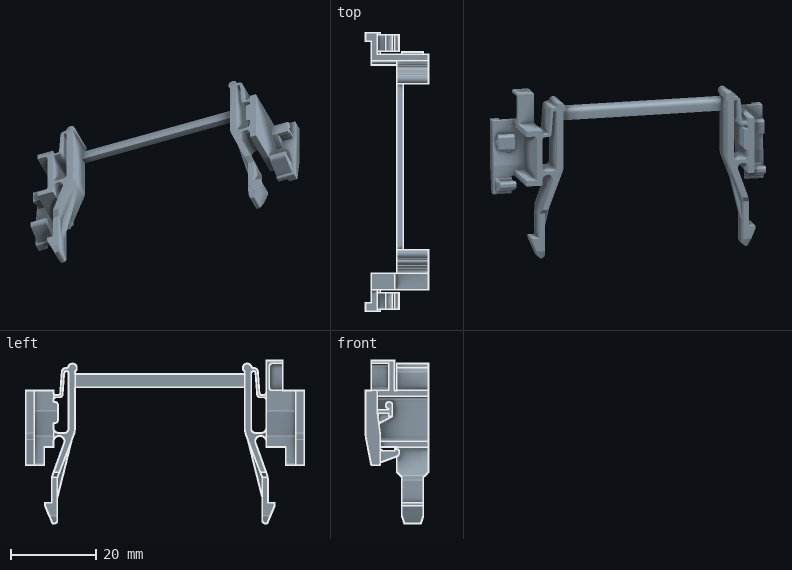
import cadquery as cq
import math


half_length = 32.75
lever_width = 14.9

wall_left = 7.35
wall_thickness = 1.6
wall_bottom = 21.6
spring_depth = 5.05
near_wall = 18.75
far_wall = 21.15
joint_overlap = 0.5

knob_radius = 1.05
knob_depth = 0.6
neck_radius = 0.45

strap_thickness = 0.6
strap_root_radius = 0.5
strap_top = 36.6
strap_shoulder_radius = 1.0
strap_bottom = 30.25
strap_upper_depth = 3.1
strap_lower_depth = 3.55
strap_arch_top = 35.8
strap_inner_radius = 0.4
strap_outer_radius = 0.8

link_top = 21.35
link_bottom = 20.55
link_top_radius = 0.9
link_root_radius = 1.1
link_bottom_radius = 1.2

leg_knee = 10.9
leg_bend_radius = 3.9
leg_knee_radius = 3.3
leg_slope = 0.36
foot_inner = 4.1
foot_outer = 5.5
foot_width = 5.1
shoulder_top = 12.1
shoulder_bottom = 10.95
tooth_depth = 7.1
tooth_top = 4.9
tooth_lip = 4.2
toe_depth = 5.3
toe_inner_radius = 0.8
toe_outer_radius = 0.3
toe_taper_height = 1.85
toe_taper = 0.6

rib_width = 1.8
rib_top = 21.3
rib_top_depth = 0.3
rib_bottom = 6.1

block_top = 31.3
block_bottom = 18.0
plate_outer = 27.7
plate_left = 2.4
channel_wall = 1.45
shelf_thickness = 1.3
shelf_fillet = 0.6

web_left = 1.4
web_thickness = 1.4
web_shift = 0.8
web_bend_top = 26.5
web_bend_bottom = 20.6
web_bottom = 13.7
web_inner = 28.35
web_corner = 0.4
flange_inner = 30.7
flange_bend_radius = 7.85

bump_depth = 1.05
bump_top = 28.6
bump_bottom = 23.65
bump_radius = 0.7
bump_root_radius = 0.25

hook_inner = web_inner
hook_outer = 32.3
gusset_thickness = 1.3
upper_arm_top = 26.8
upper_arm_bottom = 26.0
post_left = 5.5
post_right = 6.35
post_bottom = 25.2
upper_knob_radius = 0.8
upper_knob_height = 27.85
gusset_bottom = 23.6
gusset_left = 3.3
lower_floor = 17.15
lower_lip_top = 17.55
lower_lip_left = 6.9
lower_lip_right = 7.9
lower_nose = 16.0
lower_root = 14.35
lower_floor_radius = 0.6
lower_nose_radius = 0.8
lower_lip_radius = 0.6

box_right = 6.9
box_top = 38.4
box_roof = 0.7
box_back = 0.8
box_side = 1.4
box_fillet = 0.6

bar_thickness = 1.6
bar_bottom = 32.0
bar_top = 35.25


def rounded_outline(plane, corners):
    """Closed outline on `plane` through (a, b) corners; a third entry rounds that corner."""
    pieces = []
    for i, corner in enumerate(corners):
        x, y = corner[:2]
        radius = corner[2] if len(corner) > 2 else 0
        before = corners[i - 1]
        after = corners[(i + 1) % len(corners)]
        if not radius:
            pieces.append([(x, y)])
            continue
        to_before = cq.Vector(before[0] - x, before[1] - y).normalized()
        to_after = cq.Vector(after[0] - x, after[1] - y).normalized()
        half_angle = to_before.getAngle(to_after) / 2
        reach = radius / math.tan(half_angle)
        bisector = (to_before + to_after).normalized()
        apex = radius / math.sin(half_angle) - radius
        directions = [(to_before, reach), (bisector, apex), (to_after, reach)]
        pieces.append([(x + d.x * length, y + d.y * length) for d, length in directions])
    outline = cq.Workplane(plane).moveTo(*pieces[0][-1])
    for piece in pieces[1:] + pieces[:1]:
        outline = outline.lineTo(*piece[0])
        if len(piece) > 1:
            outline = outline.threePointArc(piece[1], piece[2])
    return outline.close()


def along_x(corners, left, right):
    """Extrude a (Y, Z) outline from X = left to X = right."""
    return rounded_outline("YZ", corners).extrude(right - left).translate((left, 0, 0))


def along_y(corners, inner, outer):
    """Extrude an (X, Z) outline from Y = inner to Y = outer."""
    return rounded_outline("XZ", corners).extrude(inner - outer).translate((0, inner, 0))


def box(left, right, inner, outer, bottom, top):
    size = (right - left, outer - inner, top - bottom)
    return cq.Workplane("XY").box(*size, centered=False).translate((left, inner, bottom))


def make_leg_and_link():
    """Wall, link to the block, sloping leg and toothed foot.

    The root inside the block is two radii tall, so that the rounded corners at the
    block face have room.
    """
    root = spring_depth + joint_overlap
    crotch = foot_outer - leg_slope * (link_bottom - leg_knee)
    return along_x(
        [
            (0, strap_top),
            (wall_thickness, strap_top),
            (wall_thickness, link_top, link_top_radius),
            (spring_depth, link_top, link_root_radius),
            (spring_depth, link_top + 2 * link_root_radius),
            (root, link_top + 2 * link_root_radius),
            (root, link_bottom - 2 * link_bottom_radius),
            (spring_depth, link_bottom - 2 * link_bottom_radius),
            (spring_depth, link_bottom, link_bottom_radius),
            (crotch, link_bottom, link_bottom_radius),
            (foot_outer, leg_knee, leg_knee_radius),
            (foot_outer, tooth_top),
            (tooth_depth, tooth_top),
            (tooth_depth, tooth_lip),
            (toe_depth, 0, toe_outer_radius),
            (foot_inner, 0, toe_inner_radius),
            (foot_inner, leg_knee),
            (0, wall_bottom, leg_bend_radius),
        ],
        wall_left,
        lever_width,
    )


def make_strap():
    """Thin bent strap from the top of the wall down to the block."""
    root = spring_depth + joint_overlap
    strap_underside = strap_bottom - strap_thickness
    return along_x(
        [
            (knob_depth, strap_top),
            (strap_upper_depth, strap_top, strap_shoulder_radius),
            (strap_lower_depth, strap_bottom, strap_inner_radius),
            (spring_depth, strap_bottom, strap_root_radius),
            (spring_depth, strap_bottom + 2 * strap_root_radius),
            (root, strap_bottom + 2 * strap_root_radius),
            (root, strap_underside - 2 * strap_root_radius),
            (spring_depth, strap_underside - 2 * strap_root_radius),
            (spring_depth, strap_underside, strap_root_radius),
            (strap_lower_depth - strap_thickness, strap_underside, strap_outer_radius),
            (strap_upper_depth - strap_thickness, strap_arch_top, strap_inner_radius),
            (wall_thickness, strap_arch_top, strap_inner_radius),
            (wall_thickness, strap_arch_top - strap_outer_radius),
            (knob_depth, strap_arch_top - strap_outer_radius),
        ],
        wall_left,
        lever_width,
    )


def make_knob():
    """Round bead on top of the wall, with a hollow neck running into the strap."""
    neck_reach = math.sqrt((knob_radius + neck_radius) ** 2 - neck_radius**2)
    neck_depth = knob_depth + neck_reach
    neck_height = strap_top + neck_radius
    share = knob_radius / (knob_radius + neck_radius)
    meet = (knob_depth + share * neck_reach, strap_top + share * neck_radius)
    halfway = (math.atan2(neck_radius, neck_reach) + math.pi / 2) / 2
    neck_middle = (
        neck_depth - neck_radius * math.cos(halfway),
        neck_height - neck_radius * math.sin(halfway),
    )
    bead_top = (knob_depth, strap_top + knob_radius)
    wall_meet = strap_top - math.sqrt(knob_radius**2 - knob_depth**2)
    return (
        cq.Workplane("YZ", origin=(wall_left, 0, 0))
        .moveTo(0, wall_meet)
        .threePointArc(bead_top, meet)
        .threePointArc(neck_middle, (neck_depth, strap_top))
        .close()
        .extrude(lever_width - wall_left)
    )


def make_spring():
    """The whole spring part, with the inner face of its wall at Y = 0."""
    middle = (wall_left + lever_width) / 2
    foot_left = middle - foot_width / 2
    foot_right = middle + foot_width / 2
    front_shape = along_y(
        [
            (wall_left, box_top),
            (lever_width, box_top),
            (lever_width, shoulder_top),
            (foot_right, shoulder_bottom),
            (foot_right, toe_taper_height),
            (foot_right - toe_taper, 0),
            (foot_left + toe_taper, 0),
            (foot_left, toe_taper_height),
            (foot_left, shoulder_bottom),
            (wall_left, shoulder_top),
        ],
        -knob_radius,
        tooth_depth,
    )
    rib = along_x(
        [(rib_top_depth, rib_top), (foot_inner, leg_knee), (foot_inner, rib_bottom)],
        middle - rib_width / 2,
        middle + rib_width / 2,
    )
    leg = make_leg_and_link().intersect(front_shape).union(rib)
    return leg.union(make_strap()).union(make_knob())


def make_web(block_inner):
    """Upright web, bent toward +X lower down, with the outer flange along its edge."""
    web_right = web_left + web_thickness
    lower_left = web_left + web_shift
    lower_right = web_right + web_shift
    right_side = [
        (lower_right, web_bottom, web_corner),
        (lower_right, web_bend_bottom),
        (web_right, web_bend_top),
        (web_right, block_top),
    ]
    left_side = [
        (web_left, block_top),
        (web_left, web_bend_top),
        (lower_left, web_bend_bottom),
        (lower_left, web_bottom, web_corner),
    ]
    flange_side = [
        (0, block_top),
        (0, web_bend_bottom, flange_bend_radius),
        (web_left, web_bottom, web_corner),
    ]
    web = along_y(right_side + left_side, block_inner, half_length)
    notch = box(0, lower_right, block_inner, web_inner, web_bottom, block_bottom)
    flange = along_y(right_side + flange_side, flange_inner, half_length)
    return web.cut(notch).union(flange)


def make_upper_hook():
    """Arm with an upright post, a round knob on the post and a recessed gusset under the arm."""
    root = web_left + web_thickness / 2
    arm = box(root, post_right, hook_inner, hook_outer, upper_arm_bottom, upper_arm_top)
    post = box(post_left, post_right, hook_inner, hook_outer, post_bottom, upper_knob_height)
    knob = (
        cq.Workplane("XZ", origin=(0, hook_inner, 0))
        .center(post_right - upper_knob_radius, upper_knob_height)
        .circle(upper_knob_radius)
        .extrude(hook_inner - hook_outer)
    )
    gusset = along_y(
        [
            (gusset_left, upper_arm_top),
            (gusset_left - web_thickness / 2, gusset_bottom),
            (gusset_left, gusset_bottom),
            (post_right, post_bottom),
            (post_right, upper_arm_top),
        ],
        hook_inner,
        hook_inner + gusset_thickness,
    )
    return arm.union(post).union(knob).union(gusset)


def make_lower_hook():
    """Solid wedge with a raised lip at its tip."""
    web_face = web_left + web_thickness + web_shift
    root = web_face - web_thickness / 2
    return along_y(
        [
            (root, lower_floor + 2 * lower_floor_radius),
            (web_face, lower_floor + 2 * lower_floor_radius),
            (web_face, lower_floor, lower_floor_radius),
            (lower_lip_left, lower_floor),
            (lower_lip_left, lower_lip_top),
            (lower_lip_right, lower_lip_top, lower_lip_radius),
            (lower_lip_right, lower_nose, lower_nose_radius),
            (web_face, lower_root),
            (root, lower_root),
        ],
        hook_inner,
        hook_outer,
    )


def make_plate(block_inner):
    """Plain plate of the +Y lever, with a rounded bump along its inner face."""
    plate = box(plate_left, lever_width, block_inner, plate_outer, block_bottom, block_top)
    bump_face = block_inner - bump_depth
    bump = along_x(
        [
            (plate_outer, bump_top + 2 * bump_root_radius),
            (block_inner, bump_top + 2 * bump_root_radius),
            (block_inner, bump_top, bump_root_radius),
            (bump_face, bump_top, bump_radius),
            (bump_face, bump_bottom, bump_radius),
            (block_inner, bump_bottom, bump_root_radius),
            (block_inner, bump_bottom - 2 * bump_root_radius),
            (plate_outer, bump_bottom - 2 * bump_root_radius),
        ],
        web_left,
        lever_width,
    )
    web_lean = along_y(
        [
            (web_left, web_bend_top),
            (web_left, block_bottom),
            (web_left + web_shift, block_bottom),
            (web_left + web_shift, web_bend_bottom),
        ],
        bump_face,
        plate_outer,
    )
    return plate.union(bump.cut(web_lean))


def make_channel(block_inner):
    """Channel of the -Y lever, open outward, with a shelf along its top and bottom."""
    wall_outer = block_inner + channel_wall
    return along_x(
        [
            (block_inner, block_bottom),
            (plate_outer, block_bottom),
            (plate_outer, block_bottom + shelf_thickness),
            (wall_outer, block_bottom + shelf_thickness, shelf_fillet),
            (wall_outer, block_top - shelf_thickness, shelf_fillet),
            (plate_outer, block_top - shelf_thickness),
            (plate_outer, block_top),
            (block_inner, block_top),
        ],
        plate_left,
        lever_width,
    )


def make_top_box(block_inner):
    """Box open toward -X and outward, standing on the channel."""
    back_face = block_inner + box_back
    body = box(web_left, box_right, block_inner, plate_outer, block_top, box_top)
    pocket = along_x(
        [
            (back_face, block_top, box_fillet),
            (plate_outer, block_top),
            (plate_outer, box_top - box_roof),
            (back_face, box_top - box_roof, box_fillet),
        ],
        web_left,
        box_right - box_side,
    )
    return body.cut(pocket)


def make_lever_base(wall_inner):
    """Everything that both levers share."""
    lever = make_spring().translate((0, wall_inner, 0))
    lever = lever.union(make_web(wall_inner + spring_depth))
    return lever.union(make_upper_hook()).union(make_lower_hook())


def make_far_lever():
    return make_lever_base(far_wall).union(make_plate(far_wall + spring_depth))


def make_near_lever():
    block_inner = near_wall + spring_depth
    lever = make_lever_base(near_wall).union(make_channel(block_inner))
    return lever.union(make_top_box(block_inner)).mirror("XZ")


def make_bar():
    """Bar from wall to wall, its top falling in a quarter round to the +X side."""
    bar_right = wall_left + bar_thickness
    diagonal = bar_thickness * math.sqrt(0.5)
    return (
        cq.Workplane("XZ", origin=(0, far_wall, 0))
        .moveTo(wall_left, bar_bottom)
        .lineTo(bar_right, bar_bottom)
        .lineTo(bar_right, bar_top - bar_thickness)
        .threePointArc(
            (wall_left + diagonal, bar_top - bar_thickness + diagonal),
            (wall_left, bar_top),
        )
        .close()
        .extrude(near_wall + far_wall)
    )


far_lever = make_far_lever()
near_lever = make_near_lever()
bar = make_bar()

result = cq.Compound.makeCompound([far_lever.val(), near_lever.val(), bar.val()])